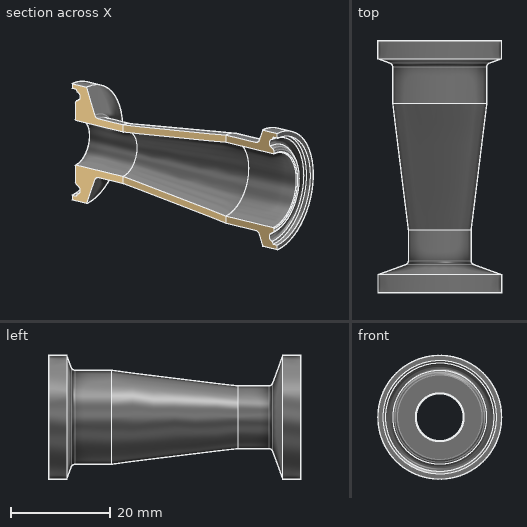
import cadquery as cq
import math

LENGTH = 50.8
FERRULE_LENGTH = 12.7
FLANGE_RADIUS = 12.5
RIM_THICKNESS = 3.65
FLANGE_SLOPE = math.radians(20)
NECK_FILLET = 0.8

SMALL_TUBE_RADIUS = 6.35
SMALL_BORE_RADIUS = 4.7
LARGE_TUBE_RADIUS = 9.5
WALL = SMALL_TUBE_RADIUS - SMALL_BORE_RADIUS
LARGE_BORE_RADIUS = LARGE_TUBE_RADIUS - WALL
MOUTH_CHAMFER = 0.2

FACE_RECESS = 0.75
GROOVE_INNER_RADIUS = 8.55
RIM_INNER_RADIUS = 11.45
INNER_FLANK_TOP = 9.05
INNER_FLANK_FOOT = 9.45
OUTER_FLANK_FOOT = 10.9

LIP_BULGE = 0.1
LIP_DEPTH = 0.35
INNER_FLANK_DEPTH = 0.95
RIM_WALL_DEPTH = 0.2
OUTER_FLANK_DEPTH = 0.5
GROOVE_DEPTH = 1.15


def revolved(profile):
    """Full turn of an XY profile about the Y axis."""
    return profile.close().revolve(360, (0, 0, 0), (0, 1, 0))


def gasket_groove():
    """Ring-shaped cutter below the sealing face, with a rounded inner lip and a round floor."""
    lip_middle = (GROOVE_INNER_RADIUS + INNER_FLANK_TOP) / 2
    floor_middle = (INNER_FLANK_FOOT + OUTER_FLANK_FOOT) / 2
    return revolved(
        cq.Workplane("XY")
        .moveTo(GROOVE_INNER_RADIUS, 0)
        .threePointArc((lip_middle, LIP_BULGE), (INNER_FLANK_TOP, LIP_DEPTH))
        .lineTo(INNER_FLANK_FOOT, INNER_FLANK_DEPTH)
        .threePointArc((floor_middle, GROOVE_DEPTH), (OUTER_FLANK_FOOT, OUTER_FLANK_DEPTH))
        .lineTo(RIM_INNER_RADIUS, RIM_WALL_DEPTH)
        .lineTo(RIM_INNER_RADIUS, 0)
    ).translate((0, FACE_RECESS, 0))


def ferrule(tube_radius, bore_radius):
    """Flanged tube end with its rim at Y = 0 and its tube reaching toward +Y."""
    slope_height = (FLANGE_RADIUS - tube_radius) * math.tan(FLANGE_SLOPE)
    neck_y = RIM_THICKNESS + slope_height
    turn = math.pi / 2 - FLANGE_SLOPE
    tangent = NECK_FILLET * math.tan(turn / 2)
    slope_end = (tube_radius + tangent * math.cos(FLANGE_SLOPE), neck_y - tangent * math.sin(FLANGE_SLOPE))
    fillet_middle = (
        tube_radius + NECK_FILLET * (1 - math.cos(turn / 2)),
        neck_y + tangent - NECK_FILLET * math.sin(turn / 2),
    )
    body = revolved(
        cq.Workplane("XY")
        .moveTo(bore_radius + MOUTH_CHAMFER, FACE_RECESS)
        .lineTo(RIM_INNER_RADIUS, FACE_RECESS)
        .lineTo(RIM_INNER_RADIUS, 0)
        .lineTo(FLANGE_RADIUS, 0)
        .lineTo(FLANGE_RADIUS, RIM_THICKNESS)
        .lineTo(*slope_end)
        .threePointArc(fillet_middle, (tube_radius, neck_y + tangent))
        .lineTo(tube_radius, FERRULE_LENGTH)
        .lineTo(bore_radius, FERRULE_LENGTH)
        .lineTo(bore_radius, FACE_RECESS + MOUTH_CHAMFER)
    )
    return body.cut(gasket_groove())


def reducer_cone():
    """Conical tube joining the two ferrules, flush with them inside and out."""
    far_end = LENGTH - FERRULE_LENGTH
    return revolved(
        cq.Workplane("XY")
        .moveTo(SMALL_BORE_RADIUS, FERRULE_LENGTH)
        .lineTo(SMALL_TUBE_RADIUS, FERRULE_LENGTH)
        .lineTo(LARGE_TUBE_RADIUS, far_end)
        .lineTo(LARGE_BORE_RADIUS, far_end)
    )


small_ferrule = ferrule(SMALL_TUBE_RADIUS, SMALL_BORE_RADIUS)
large_ferrule = (
    ferrule(LARGE_TUBE_RADIUS, LARGE_BORE_RADIUS)
    .rotate((0, 0, 0), (0, 0, 1), 180)
    .translate((0, LENGTH, 0))
)
cone = reducer_cone()

result = cq.Compound.makeCompound([small_ferrule.val(), cone.val(), large_ferrule.val()])